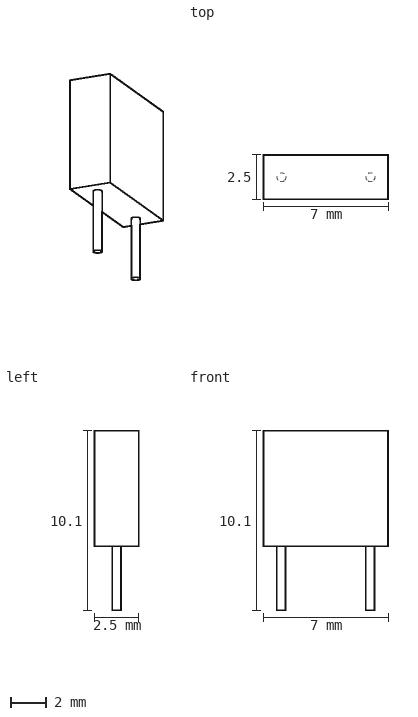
import cadquery as cq

body_length = 7.0
body_width = 2.5
body_height = 6.5

lead_diameter = 0.5
lead_pitch = 5.0
lead_length = 3.6


def make_body():
    """Rectangular body standing on the Z = 0 plane, centred in X and Y."""
    return cq.Workplane("XY").box(
        body_length, body_width, body_height, centered=(True, True, False)
    )


def make_leads():
    """Pair of straight leads hanging down from the underside of the body."""
    return (
        cq.Workplane("XY")
        .rarray(lead_pitch, 1, 2, 1)
        .circle(lead_diameter / 2)
        .extrude(-lead_length)
    )


result = make_body().union(make_leads())